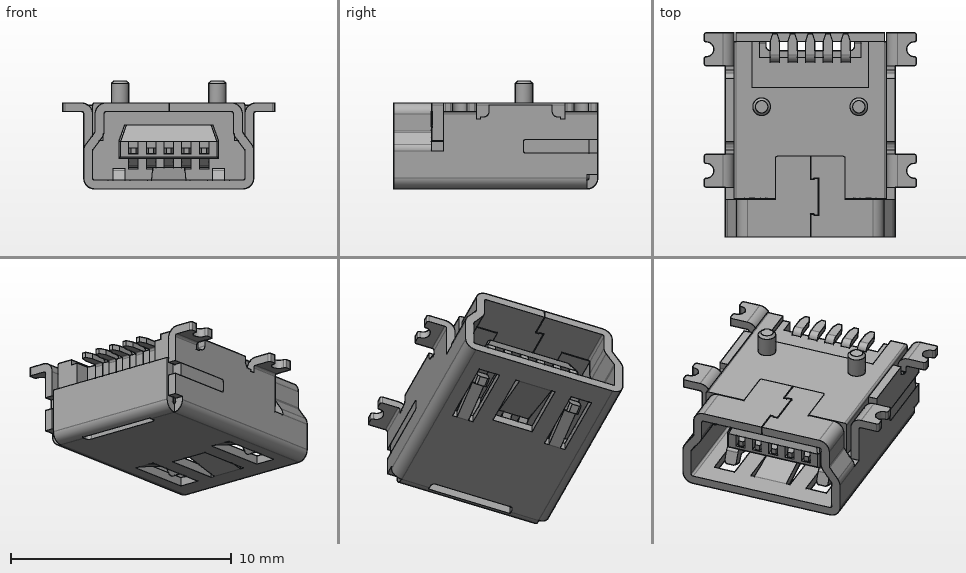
import cadquery as cq
import math


SHEET = 0.4
BEND_IN = 0.1
BEND_OUT = BEND_IN + SHEET
LENGTH = 9.25
SHELL_TOP = 3.9
HALF_WIDTH = 3.85
INNER_HALF = HALF_WIDTH - SHEET
INNER_TOP = SHELL_TOP - SHEET

NOSE_LENGTH = 1.71
NOSE_HALF = 2.93
SHOULDER_LOW = 1.75
SHOULDER_HIGH = 2.46
WALL_START = 2.25
WALL_CUT_Z = 1.71

TONGUE_HALF = 1.58
TONGUE_END = 3.66
CORNER = 0.1

SEAM = 0.035
KEY_FRONT = 1.01
KEY_REAR = 2.65
KEY_REACH = 0.36
KEY_NECK = 0.15
KEY_HOOK = 0.05

TAB_REACH = 4.8
TAB_WIDTH = 1.5
TAB_STARTS = (WALL_START, LENGTH - TAB_WIDTH)
TAB_NOTCH_RADIUS = 0.33
TAB_NOTCH_CENTER = 4.7
WALL_TOP = 3.8
RELIEF_LENGTH = 0.57
RELIEF_Z = 3.26
RELIEF_RADIUS = 0.25
NICK_LENGTH = 0.19
NICK_DEPTH = 0.08

SIDE_SLOT_START = 5.88
SIDE_SLOT_LOW = 1.63
SIDE_SLOT_HIGH = 2.24
CORNER_RELIEF_TOP = 0.65

FLAP_HALF = 3.37
FLAP_TOP = 2.5
FLAP_FACE = LENGTH - SHEET
WINDOW_HALF = 2.0
WINDOW_START = 8.44
WINDOW_RADIUS = 0.2

SPRING_START = 1.05
LANCE_WINDOW_HALF = 0.96
LANCE_WINDOW_END = 3.75
LANCE_ROOT_HALF = 0.78
LANCE_TIP_HALF = 0.72
LANCE_END = 3.6
LANCE_TOP = 1.0
LANCE_TIP_ROUND = 0.1

FINGER_X = 2.25
FINGER_WIDTH = 0.56
FINGER_WINDOW_WIDTH = 1.0
FINGER_END = 4.2
FINGER_TIP_Y = 1.7
FINGER_TIP_Z = 0.28
FINGER_CREST_Y = 2.0
FINGER_CREST_Z = 0.92
FINGER_TIP_CHAMFER = 0.1
FINGER_BEND = 0.16
FINGER_CREST_LENGTH = 0.4

HOUSING_FRONT = 1.75
HOUSING_REAR = FLAP_FACE
EDGE_ROUND = 0.1
CAVITY_REAR = 5.5
CHEEK_INNER = 2.97
CHEEK_BOTTOM = 2.2
STEP_HALF = 2.645
STEP_START = 6.76
STEP_DEPTH = 0.25
REAR_POCKET_HALF = 2.3
REAR_POCKET_START = 8.13
POST_X = 2.2
POST_Y = 5.9
POST_RADIUS = 0.4
POST_TOP = 4.9
POST_CHAMFER = 0.12

BLADE_FRONT = 1.37
BLADE_BOTTOM = 1.38
BLADE_SHOULDER = 2.16
BLADE_TOP = 2.9
BLADE_HALF = 2.26
BLADE_TOP_HALF = 2.0
BLADE_LEAD = 0.35
BLADE_CHAMFER = 0.08
BLADE_FACE_THICKNESS = 0.25
GROOVE_DEPTH = 0.5
WINDOW_LOW = 1.59
WINDOW_HIGH = 1.86
WALL_SLOT_BOTTOM = 0.9
WALL_SLOT_DEPTH = 0.5

PITCH = 0.8
CONTACT_COUNT = 5
CONTACT_WIDTH = 0.43
CONTACT_THICKNESS = 0.25
CONTACT_TIP_WIDTH = 0.22
CONTACT_TIP_Y = BLADE_FRONT + 0.05
CONTACT_TIP_Z = 1.61
CONTACT_TAPER = 0.3
CONTACT_BEND_Y = 4.1
CONTACT_RUN_Y = CONTACT_BEND_Y + 0.64
CONTACT_RUN_Z = 0.97
CONTACT_RUN_BEND = 0.35
CONTACT_RISE_Y = 7.9
CONTACT_FOOT_RADIUS = 0.35
CONTACT_END = 9.2
FOOT_TAPER_START = 8.85
FOOT_TIP_WIDTH = 0.2


def box(x0, x1, y0, y1, z0, z1):
    """Axis-aligned block between two opposite corners."""
    return cq.Workplane("XY").box(x1 - x0, y1 - y0, z1 - z0, centered=False).translate((x0, y0, z0))


def centered_box(center_x, width, y0, y1, z0, z1):
    return box(center_x - width / 2, center_x + width / 2, y0, y1, z0, z1)


def side_plate(points, center_x, width):
    """Plate of the given width whose outline is drawn in the Y-Z plane."""
    plate = cq.Workplane("YZ").polyline(points).close().extrude(width / 2, both=True)
    return plate.translate((center_x, 0, 0))


def mirrored(solid):
    """A solid on one side of the connector together with its mirror image."""
    return solid.union(solid.mirror("YZ"))


def rear_of(sketch, y0, y1):
    """Extrude an X-Z outline from y0 back to y1."""
    return sketch.extrude(-(y1 - y0)).translate((0, y0, 0))


def nose_prism(offset, convex_radius, waist_radius):
    """Solid of the mating profile, grown outward from the inside of the sheet by the offset."""
    slope_angle = math.atan2(INNER_HALF - NOSE_HALF, SHOULDER_HIGH - SHOULDER_LOW)
    rise = offset * math.tan(slope_angle / 2)
    right_side = [
        (INNER_HALF + offset, SHEET - offset),
        (INNER_HALF + offset, SHOULDER_LOW + rise),
        (NOSE_HALF + offset, SHOULDER_HIGH + rise),
        (NOSE_HALF + offset, INNER_TOP + offset),
    ]
    outline = right_side + [(-x, z) for x, z in reversed(right_side)]
    prism = rear_of(cq.Workplane("XZ").polyline(outline).close(), 0, NOSE_LENGTH)
    convex = "(>X or <X or >Z or <Z)"
    prism = prism.edges(f"|Y and (not {convex})").fillet(waist_radius)
    return prism.edges(f"|Y and {convex}").fillet(convex_radius)


def nose():
    """Closed mating profile: wide bottom, sloping shoulders and narrow top."""
    return nose_prism(SHEET, BEND_OUT, BEND_IN).cut(nose_prism(0, BEND_IN, BEND_OUT))


def strap():
    """Top sheet strap reaching back over the insulator."""
    strip = box(-TONGUE_HALF, TONGUE_HALF, 0, TONGUE_END, INNER_TOP, SHELL_TOP)
    strip = strip.edges("|Z and >Y").fillet(CORNER)
    return strip.cut(box(-TONGUE_HALF, TONGUE_HALF, 0, NOSE_LENGTH / 2, INNER_TOP, SHELL_TOP))


def seam():
    """Thin gap where the two halves of the top sheet interlock with a hooked key."""
    far = LENGTH
    half = [
        (0, KEY_REAR - KEY_HOOK),
        (KEY_NECK, KEY_REAR - KEY_HOOK),
        (KEY_NECK + KEY_HOOK, KEY_REAR),
        (KEY_REACH, KEY_REAR),
    ]
    middle = KEY_FRONT + KEY_REAR
    key = half + [(x, middle - y) for x, y in reversed(half)]
    outline = [(-far, -far), (-far, far), (0, far)] + key + [(0, -far)]
    left = cq.Workplane("XY").polyline(outline).close()
    grown = left.offset2D(SEAM).extrude(SHEET * 2)
    inner = cq.Workplane("XY").polyline(outline).close().extrude(SHEET * 2)
    band = box(-1, 1, -1, TONGUE_END + 1, INNER_TOP - SHEET / 2, SHELL_TOP + SHEET)
    return grown.cut(inner).translate((0, 0, INNER_TOP - SHEET / 2)).intersect(band)


def trough():
    """Flat bottom with the two side walls."""
    profile = box(-HALF_WIDTH, HALF_WIDTH, NOSE_LENGTH, LENGTH, 0, WALL_TOP)
    profile = profile.edges("|Y and <Z").fillet(BEND_OUT)
    inside = box(-INNER_HALF, INNER_HALF, NOSE_LENGTH, LENGTH, SHEET, SHELL_TOP)
    inside = inside.edges("|Y and <Z").fillet(BEND_IN)
    body = profile.cut(inside)
    body = body.cut(box(-HALF_WIDTH, HALF_WIDTH, NOSE_LENGTH, WALL_START, WALL_CUT_Z, SHELL_TOP))
    body = body.cut(wall_cutouts())
    return body


def wall_cutouts():
    """Openings in both side walls, and the bottom sheet trimmed to the start of the rear bend."""
    x0 = INNER_HALF
    x1 = HALF_WIDTH
    front_edge = WALL_START + TAB_WIDTH
    rear_edge = LENGTH - TAB_WIDTH
    front_relief = box(x0, x1, front_edge, front_edge + RELIEF_LENGTH, RELIEF_Z, SHELL_TOP)
    front_relief = front_relief.edges("|X and <Z and >Y").fillet(RELIEF_RADIUS)
    rear_relief = box(x0, x1, rear_edge - RELIEF_LENGTH, rear_edge, RELIEF_Z, SHELL_TOP)
    rear_relief = rear_relief.edges("|X and <Z and <Y").fillet(RELIEF_RADIUS)
    front_nick = box(x0, x1, front_edge, front_edge + NICK_LENGTH, RELIEF_Z - NICK_DEPTH, SHELL_TOP)
    rear_nick = box(x0, x1, rear_edge - NICK_LENGTH, rear_edge, RELIEF_Z - NICK_DEPTH, SHELL_TOP)
    cuts = front_relief.union(front_nick).union(rear_relief).union(rear_nick)
    cuts = cuts.union(side_slot(LENGTH))
    cuts = cuts.union(box(0, x1, LENGTH - BEND_OUT, LENGTH, 0, CORNER_RELIEF_TOP))
    for start in TAB_STARTS:
        cuts = cuts.union(box(x0, x1, start, start + TAB_WIDTH, RELIEF_Z - NICK_DEPTH, SHELL_TOP))
    return mirrored(cuts)


def side_slot(end):
    """Bar filling the slot of the right-hand wall back to the given Y."""
    slot = box(INNER_HALF, HALF_WIDTH, SIDE_SLOT_START, end, SIDE_SLOT_LOW, SIDE_SLOT_HIGH)
    return slot.edges("|X and <Y").fillet(CORNER)


def tab(start):
    """Solder tab on the right: wall end bent outward, with a round notch in its edge."""
    bend_x = INNER_HALF + BEND_OUT
    bend_z = SHELL_TOP - BEND_OUT
    root_z = RELIEF_Z - NICK_DEPTH
    outline = (
        cq.Workplane("XZ")
        .moveTo(INNER_HALF, root_z)
        .lineTo(INNER_HALF, bend_z)
        .radiusArc((bend_x, SHELL_TOP), BEND_OUT)
        .lineTo(TAB_REACH, SHELL_TOP)
        .lineTo(TAB_REACH, INNER_TOP)
        .lineTo(bend_x, INNER_TOP)
        .radiusArc((HALF_WIDTH, bend_z), -BEND_IN)
        .lineTo(HALF_WIDTH, root_z)
        .close()
    )
    plate = rear_of(outline, start, start + TAB_WIDTH)
    middle = start + TAB_WIDTH / 2
    notch = cq.Workplane("XY").center(TAB_NOTCH_CENTER, middle).circle(TAB_NOTCH_RADIUS).extrude(LENGTH)
    mouth = box(
        TAB_NOTCH_CENTER, TAB_REACH, middle - TAB_NOTCH_RADIUS, middle + TAB_NOTCH_RADIUS, 0, SHELL_TOP
    )
    plate = plate.cut(notch).cut(mouth)
    return plate.edges("|Z and >X").fillet(CORNER * 0.95)


def rear_flap():
    """Rear wall bent up from the bottom sheet."""
    bend_y = LENGTH - BEND_OUT
    return (
        cq.Workplane("YZ")
        .moveTo(bend_y, 0)
        .radiusArc((LENGTH, BEND_OUT), -BEND_OUT)
        .lineTo(LENGTH, FLAP_TOP)
        .lineTo(FLAP_FACE, FLAP_TOP)
        .lineTo(FLAP_FACE, BEND_OUT)
        .radiusArc((bend_y, SHEET), BEND_IN)
        .close()
        .extrude(FLAP_HALF, both=True)
    )


def rear_window():
    window = box(-WINDOW_HALF, WINDOW_HALF, WINDOW_START, FLAP_FACE, 0, BEND_OUT)
    return window.edges("|Z and <Y").fillet(WINDOW_RADIUS)


def bottom_windows():
    """Openings in the bottom sheet around the centre lance and the two side fingers."""
    cuts = box(-LANCE_WINDOW_HALF, LANCE_WINDOW_HALF, SPRING_START, LANCE_WINDOW_END, 0, SHEET)
    for side in (-1, 1):
        cuts = cuts.union(
            centered_box(side * FINGER_X, FINGER_WINDOW_WIDTH, SPRING_START, FINGER_END, 0, SHEET)
        )
    return cuts


def lance():
    """Tapered centre spring rising to the rear."""
    points = [(SPRING_START, 0), (SPRING_START, SHEET), (LANCE_END, LANCE_TOP), (LANCE_END, LANCE_TOP - SHEET)]
    plate = side_plate(points, 0, 2 * LANCE_ROOT_HALF)
    plate = plate.edges("|X and >Z").fillet(LANCE_TIP_ROUND)
    plan = [
        (-LANCE_ROOT_HALF, SPRING_START),
        (LANCE_ROOT_HALF, SPRING_START),
        (LANCE_TIP_HALF, LANCE_END),
        (-LANCE_TIP_HALF, LANCE_END),
    ]
    return plate.intersect(cq.Workplane("XY").polyline(plan).close().extrude(SHELL_TOP))


def finger(center_x):
    """Side spring rooted at the rear, arched up and curled down at its front tip."""
    run = FINGER_CREST_Y - FINGER_TIP_Y
    drop = FINGER_CREST_Z - FINGER_TIP_Z
    tip_length = math.hypot(run, drop)
    under_y = SHEET * drop / tip_length
    under_z = SHEET * run / tip_length
    points = [
        (FINGER_END, SHEET),
        (FINGER_CREST_Y + FINGER_CREST_LENGTH, FINGER_CREST_Z),
        (FINGER_CREST_Y, FINGER_CREST_Z),
        (FINGER_TIP_Y, FINGER_TIP_Z),
        (FINGER_TIP_Y + under_y, FINGER_TIP_Z - under_z),
        (FINGER_CREST_Y + under_y, FINGER_CREST_Z - SHEET),
        (FINGER_CREST_Y + FINGER_CREST_LENGTH, FINGER_CREST_Z - SHEET),
        (FINGER_END, 0),
    ]
    plate = side_plate(points, center_x, FINGER_WIDTH)
    crest = cq.selectors.NearestToPointSelector((center_x, FINGER_CREST_Y, FINGER_CREST_Z))
    plate = plate.edges(crest).fillet(FINGER_BEND)
    tip_corners = cq.selectors.ParallelDirSelector(cq.Vector(0, under_y, -under_z))
    return plate.edges(tip_corners).chamfer(FINGER_TIP_CHAMFER)


def build_shell():
    shell = nose().union(strap()).union(trough()).union(rear_flap())
    tabs = tab(TAB_STARTS[0]).union(tab(TAB_STARTS[1]))
    shell = shell.union(mirrored(tabs))
    shell = shell.cut(seam()).cut(rear_window()).cut(bottom_windows())
    shell = shell.union(lance())
    for side in (-1, 1):
        shell = shell.union(finger(side * FINGER_X))
    return shell


def contact_positions():
    return [(index - (CONTACT_COUNT - 1) / 2) * PITCH for index in range(CONTACT_COUNT)]


def build_contact(center_x):
    """Strip running from the blade tip under the blade, up the rear and out to a solder foot."""
    t = CONTACT_THICKNESS
    foot_start = CONTACT_RISE_Y + CONTACT_FOOT_RADIUS
    foot_z = SHELL_TOP - CONTACT_FOOT_RADIUS
    strip = (
        cq.Workplane("YZ")
        .moveTo(CONTACT_TIP_Y, CONTACT_TIP_Z)
        .lineTo(CONTACT_BEND_Y, CONTACT_TIP_Z)
        .lineTo(CONTACT_RUN_Y, CONTACT_RUN_Z)
        .lineTo(CONTACT_RISE_Y + t, CONTACT_RUN_Z)
        .lineTo(CONTACT_RISE_Y + t, foot_z)
        .radiusArc((foot_start, SHELL_TOP - t), CONTACT_FOOT_RADIUS - t)
        .lineTo(CONTACT_END, SHELL_TOP - t)
        .lineTo(CONTACT_END, SHELL_TOP)
        .lineTo(foot_start, SHELL_TOP)
        .radiusArc((CONTACT_RISE_Y, foot_z), -CONTACT_FOOT_RADIUS)
        .lineTo(CONTACT_RISE_Y, CONTACT_RUN_Z + t)
        .lineTo(CONTACT_RUN_Y, CONTACT_RUN_Z + t)
        .lineTo(CONTACT_BEND_Y, CONTACT_TIP_Z + t)
        .lineTo(CONTACT_TIP_Y, CONTACT_TIP_Z + t)
        .close()
        .extrude(CONTACT_WIDTH / 2, both=True)
    )
    run_bend = cq.selectors.NearestToPointSelector((0, CONTACT_RUN_Y, CONTACT_RUN_Z))
    strip = strip.edges(run_bend).fillet(CONTACT_RUN_BEND)
    right_edge = [
        (CONTACT_TIP_WIDTH / 2, CONTACT_TIP_Y),
        (CONTACT_WIDTH / 2, CONTACT_TIP_Y + CONTACT_TAPER),
        (CONTACT_WIDTH / 2, FOOT_TAPER_START),
        (FOOT_TIP_WIDTH / 2, CONTACT_END),
    ]
    plan = right_edge + [(-x, y) for x, y in reversed(right_edge)]
    strip = strip.intersect(cq.Workplane("XY").polyline(plan).close().extrude(SHELL_TOP))
    return strip.translate((center_x, 0, 0))


def insulator_block():
    block = box(-INNER_HALF, INNER_HALF, HOUSING_FRONT, HOUSING_REAR, SHEET, SHELL_TOP)
    block = block.edges("|Y").fillet(EDGE_ROUND)
    bend_room = box(-INNER_HALF, INNER_HALF, HOUSING_FRONT, HOUSING_REAR, SHEET, SHELL_TOP)
    block = block.intersect(bend_room.edges("|X and >Y and <Z").fillet(BEND_IN))
    block = block.cut(box(-INNER_HALF, INNER_HALF, 0, CAVITY_REAR, SHEET, CHEEK_BOTTOM))
    block = block.cut(box(-CHEEK_INNER, CHEEK_INNER, 0, CAVITY_REAR, SHEET, INNER_TOP))
    step_floor = SHELL_TOP - STEP_DEPTH
    block = block.cut(box(-STEP_HALF, STEP_HALF, STEP_START, HOUSING_REAR, step_floor, SHELL_TOP))
    pocket = box(-REAR_POCKET_HALF, REAR_POCKET_HALF, REAR_POCKET_START, HOUSING_REAR, SHEET, SHELL_TOP)
    block = block.cut(pocket)
    return block.cut(strap())


def blade():
    """Tapered contact carrier standing forward from the rear wall of the cavity."""
    right_edge = [(BLADE_HALF, BLADE_BOTTOM), (BLADE_HALF, BLADE_SHOULDER), (BLADE_TOP_HALF, BLADE_TOP)]
    outline = right_edge + [(-x, z) for x, z in reversed(right_edge)]
    body = rear_of(cq.Workplane("XZ").polyline(outline).close(), BLADE_FRONT, CAVITY_REAR)
    lead = [
        (BLADE_FRONT, BLADE_SHOULDER),
        (BLADE_FRONT, BLADE_TOP),
        (BLADE_FRONT + BLADE_LEAD, BLADE_TOP),
    ]
    body = body.cut(side_plate(lead, 0, 2 * BLADE_HALF))
    sides = "(not |X) and (not |Y) and (not >Y)"
    body = body.edges(sides).chamfer(BLADE_CHAMFER)
    return body.edges("|X and <Y and <Z").chamfer(BLADE_CHAMFER)


def contact_channel(center_x):
    """Room around one contact: blade groove and window, open blade underside, slot in the wall."""
    face_rear = BLADE_FRONT + BLADE_FACE_THICKNESS
    w = CONTACT_WIDTH
    groove = centered_box(
        center_x, w, BLADE_FRONT, BLADE_FRONT + GROOVE_DEPTH, WINDOW_HIGH, BLADE_SHOULDER
    )
    window = centered_box(center_x, w, BLADE_FRONT, face_rear, WINDOW_LOW, WINDOW_HIGH)
    underside = centered_box(center_x, w, face_rear, CAVITY_REAR, BLADE_BOTTOM, WINDOW_HIGH)
    slot_rear = CAVITY_REAR + WALL_SLOT_DEPTH
    slot = centered_box(center_x, w, CAVITY_REAR, slot_rear, WALL_SLOT_BOTTOM, BLADE_BOTTOM)
    return groove.union(window).union(underside).union(slot)


def post(center_x):
    height = POST_TOP - INNER_TOP
    pin = cq.Workplane("XY").circle(POST_RADIUS).extrude(height).faces(">Z").chamfer(POST_CHAMFER)
    return pin.translate((center_x, POST_Y, INNER_TOP))


def build_insulator(contacts):
    insulator = insulator_block().union(blade())
    insulator = insulator.union(mirrored(side_slot(HOUSING_REAR)))
    for side in (-1, 1):
        insulator = insulator.union(post(side * POST_X))
    for center_x in contact_positions():
        insulator = insulator.cut(contact_channel(center_x))
    for contact in contacts:
        insulator = insulator.cut(contact)
    return insulator


shell = build_shell()
contacts = [build_contact(center_x) for center_x in contact_positions()]
insulator = build_insulator(contacts)

result = cq.Compound.makeCompound([shell.val(), insulator.val(), *[contact.val() for contact in contacts]])